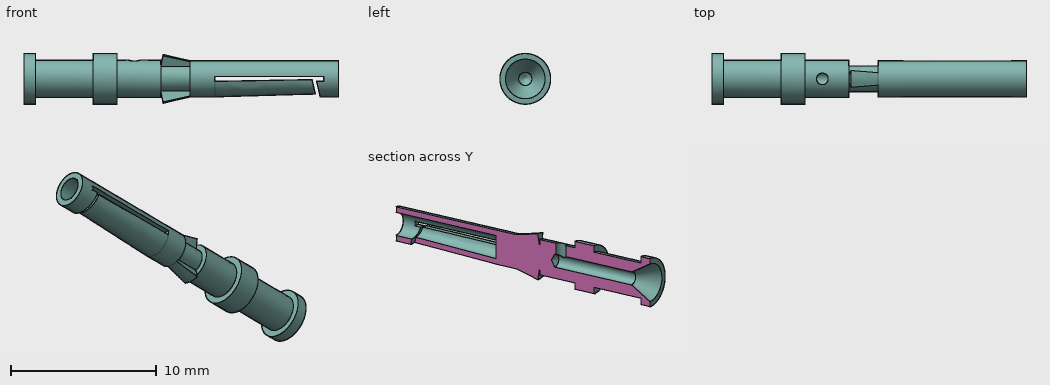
import cadquery as cq
import math

length = 21.6
flange_diameter = 3.5
flange_length = 0.8
barrel_diameter = 2.6
barrel_end = 9.4
collar_start = 4.75
collar_end = 6.4
neck_diameter = 1.8
sleeve_diameter = 2.5
sleeve_start = 11.4

funnel_mouth_diameter = 2.72
funnel_angle = 60.0
wire_bore_diameter = 0.9
wire_bore_end = 8.1
drill_point_angle = 118.0
inspection_hole_diameter = 0.8
inspection_hole_x = 7.58

barb_tip_diameter = 3.37
barb_tip_setback = 0.15
barb_sector_angle = 40.0

socket_diameter = 1.65
slot_start = 13.11
slot_end = 20.58
slot_width = 0.32
tongue_squeeze = 0.22
tongue_tip_x = 19.79
tongue_tip_z = -0.05
gap_start = 20.09
end_cut_angle = 13.0

sleeve_radius = sleeve_diameter / 2
socket_radius = socket_diameter / 2
slot_half = slot_width / 2
below = -barrel_diameter
end_cut_slope = math.tan(math.radians(end_cut_angle))


def rod(diameter, start, end):
    """Cylinder along X between two stations."""
    return cq.Workplane("YZ", origin=(start, 0, 0)).circle(diameter / 2).extrude(end - start)


def revolved(points):
    """Solid of revolution about X from a half outline in the XZ plane."""
    return cq.Workplane("XZ").polyline(points).close().revolve(360, (0, 0, 0), (1, 0, 0))


def make_body():
    """Flange, barrel, collar, neck and the plain sleeve."""
    body = rod(flange_diameter, 0, flange_length)
    body = body.union(rod(barrel_diameter, 0, barrel_end))
    body = body.union(rod(flange_diameter, collar_start, collar_end))
    body = body.union(rod(neck_diameter, barrel_end, sleeve_start))
    return body.union(rod(sleeve_diameter, sleeve_start, length))


def make_wire_entry():
    """Funnel and drilled bore, revolved, plus the radial inspection hole."""
    bore_radius = wire_bore_diameter / 2
    point_length = bore_radius / math.tan(math.radians(drill_point_angle / 2))
    mouth_radius = funnel_mouth_diameter / 2
    funnel_depth = (mouth_radius - bore_radius) / math.tan(math.radians(funnel_angle / 2))
    bore = revolved([
        (0, 0),
        (0, mouth_radius),
        (funnel_depth, bore_radius),
        (wire_bore_end, bore_radius),
        (wire_bore_end + point_length, 0),
    ])
    hole = (
        cq.Workplane("XY", origin=(inspection_hole_x, 0, 0))
        .circle(inspection_hole_diameter / 2)
        .extrude(barrel_diameter)
    )
    return bore.union(hole)


def make_barbs():
    """Two opposite flared sectors with radial sides, joined to neck and sleeve."""
    barb = (
        cq.Workplane("XZ")
        .moveTo(barrel_end, 0)
        .lineTo(barrel_end, neck_diameter / 2)
        .lineTo(barrel_end + barb_tip_setback, barb_tip_diameter / 2)
        .lineTo(sleeve_start, sleeve_radius)
        .lineTo(sleeve_start, 0)
        .close()
        .revolve(barb_sector_angle, (0, 0, 0), (1, 0, 0))
        .rotate((0, 0, 0), (1, 0, 0), -barb_sector_angle / 2)
    )
    return barb.union(barb.rotate((0, 0, 0), (1, 0, 0), 180))


def side_prism(points):
    """Prism across the whole width of the sleeve from an XZ outline."""
    return cq.Workplane("XZ").polyline(points).close().extrude(barrel_diameter, both=True)


def make_tongue_window():
    """Slot with everything below it removed up to the slanted gap face."""
    return side_prism([
        (slot_start, slot_half),
        (slot_end, slot_half),
        (slot_end, -slot_half),
        (gap_start, -slot_half),
        (gap_start + end_cut_slope * (-slot_half - below), below),
        (slot_start, below),
    ])


def tapered_rod(root_radius, tip_radius):
    """Cone frustum along X over the reach of the tongue, from its root to the slot end."""
    return revolved([
        (slot_start, 0),
        (slot_start, root_radius),
        (slot_end, tip_radius),
        (slot_end, 0),
    ])


def make_tongue():
    """Lower part of the tube wall, squeezed towards the axis at its free end."""
    outline = side_prism([
        (slot_start, -slot_half),
        (tongue_tip_x, tongue_tip_z),
        (tongue_tip_x + end_cut_slope * (tongue_tip_z - below), below),
        (slot_start, below),
    ])
    outer = tapered_rod(sleeve_radius, sleeve_radius - tongue_squeeze)
    inner = tapered_rod(socket_radius, socket_radius - tongue_squeeze)
    return outer.cut(inner).intersect(outline)


body = make_body().union(make_barbs()).cut(make_wire_entry())
body = body.cut(rod(socket_diameter, slot_start, length))
body = body.cut(make_tongue_window())
result = body.union(make_tongue())